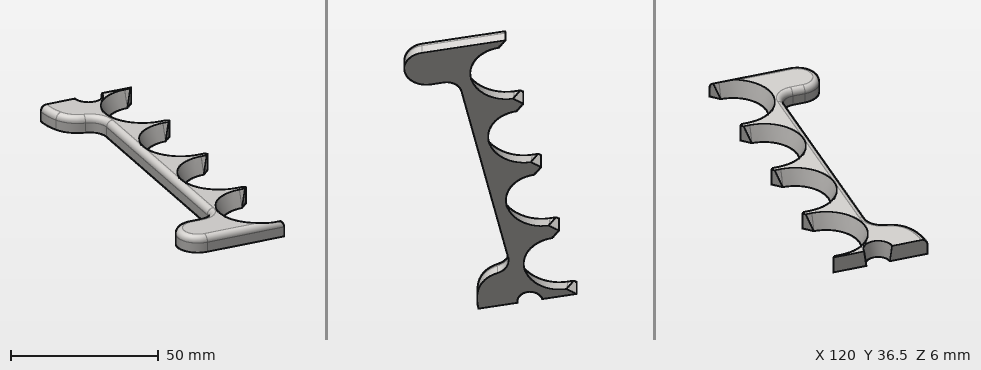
import cadquery as cq
import math

length = 120.0
depth = 36.5
thickness = 6.0
edge_round = 2.3

cradle_count = 4
cradle_pitch = length / cradle_count
cradle_top_radius = 14.2
cradle_bottom_radius = 12.0
tip_bevel = cradle_pitch / 2 - cradle_bottom_radius

bar_y = -19.5
foot_radius = cradle_pitch / 4
foot_cove_radius = 5.0
lobe_y = -34.1
lobe_nose_radius = 21.8
lobe_nose_end_x = 8.4
lobe_side_radius = 10.9
lobe_cove_radius = 6.2
lobe_cove_end_x = 21.0

hole_y = -16.2
hole_top_radius = 5.0
hole_bottom_radius = 4.2


def arc_point(center, radius, angle):
    return (center[0] + radius * math.cos(angle), center[1] + radius * math.sin(angle))


def make_blank():
    """Plate with a lobe at the left, a foot at the right and a straight bar between."""
    nose_center = (0, lobe_y + lobe_nose_radius)
    nose_end_angle = -math.acos(lobe_nose_end_x / lobe_nose_radius)
    side_center = arc_point(nose_center, lobe_nose_radius - lobe_side_radius, nose_end_angle)
    cove_center = (lobe_cove_end_x, bar_y - lobe_cove_radius)
    side_end_angle = math.atan2(cove_center[1] - side_center[1], cove_center[0] - side_center[0])
    cove_start_angle = side_end_angle + math.pi
    cove_middle_angle = (cove_start_angle + math.pi / 2) / 2

    foot_center = (length - foot_radius, foot_radius - depth)
    foot_left = length - 2 * foot_radius
    foot_cove_center = (foot_left - foot_cove_radius, bar_y - foot_cove_radius)

    outline = (
        cq.Workplane("XY")
        .moveTo(0, 0)
        .lineTo(0, lobe_y)
        .threePointArc(
            arc_point(nose_center, lobe_nose_radius, (nose_end_angle - math.pi / 2) / 2),
            arc_point(nose_center, lobe_nose_radius, nose_end_angle),
        )
        .threePointArc(
            arc_point(side_center, lobe_side_radius, (nose_end_angle + side_end_angle) / 2),
            arc_point(side_center, lobe_side_radius, side_end_angle),
        )
        .threePointArc(
            arc_point(cove_center, lobe_cove_radius, cove_middle_angle),
            (lobe_cove_end_x, bar_y),
        )
        .lineTo(foot_cove_center[0], bar_y)
        .threePointArc(
            arc_point(foot_cove_center, foot_cove_radius, math.pi / 4),
            (foot_left, foot_cove_center[1]),
        )
        .lineTo(foot_left, foot_center[1])
        .threePointArc((foot_center[0], -depth), (length, foot_center[1]))
        .lineTo(length, 0)
        .close()
    )
    blank = outline.extrude(thickness)
    rim = blank.faces(">Z").edges("not(<X or >Y)")
    return rim.fillet(edge_round)


def tapered_cutter(x, y, bottom_radius, top_radius):
    return (
        cq.Workplane("XY")
        .center(x, y)
        .circle(bottom_radius)
        .workplane(offset=thickness)
        .circle(top_radius)
        .loft(ruled=True)
    )


def cradle_cutter(x):
    """Tapered cradle whose mouth flares at 45 degrees to the tips."""
    mouth = (
        cq.Workplane("XY")
        .polyline([
            (x - cradle_pitch / 2, 0),
            (x - cradle_bottom_radius, -tip_bevel),
            (x + cradle_bottom_radius, -tip_bevel),
            (x + cradle_pitch / 2, 0),
        ])
        .close()
        .extrude(thickness)
    )
    flanks = (
        cq.Workplane("XZ")
        .polyline([
            (x - cradle_bottom_radius, 0),
            (x + cradle_bottom_radius, 0),
            (x + cradle_top_radius, thickness),
            (x - cradle_top_radius, thickness),
        ])
        .close()
        .extrude(tip_bevel)
    )
    bowl = tapered_cutter(x, -tip_bevel, cradle_bottom_radius, cradle_top_radius)
    return bowl.union(mouth).union(flanks)


result = make_blank()
for index in range(cradle_count):
    result = result.cut(cradle_cutter((index + 0.5) * cradle_pitch))
result = result.cut(tapered_cutter(0, hole_y, hole_bottom_radius, hole_top_radius))